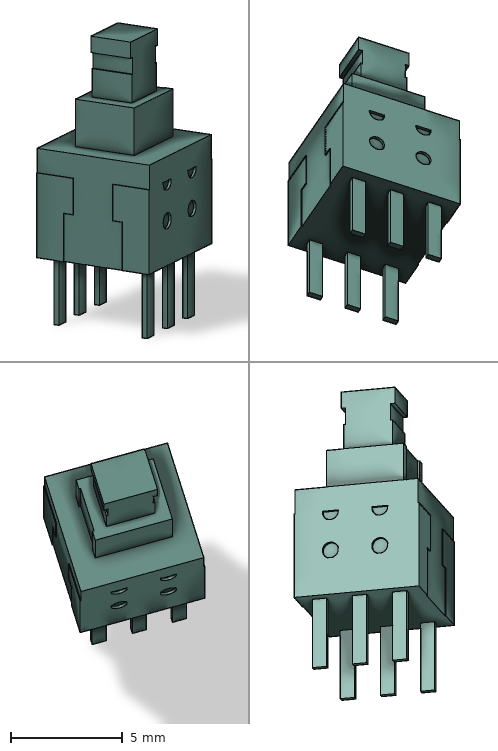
import cadquery as cq


TOTAL_HEIGHT = 13.39

HOUSING_SIDE = 5.75
HOUSING_BOTTOM = 3.23
HOUSING_TOP = 8.32

PLATE_SPAN_Y = 5.82
PLATE_TOP = 7.18
TAB_STEP_Z = 5.48
TAB_GAP_UPPER = 2.04
TAB_GAP_LOWER = 3.01

DIMPLE_DIAMETER = 0.74
DIMPLE_DEPTH = 0.13
DIMPLE_SPACING_Y = 2.3
DIMPLE_CENTRE_Y = -0.07
DIMPLE_LOWER_Z = 5.32
DIMPLE_UPPER_Z = 7.12

COLLAR_WIDTH_X = 3.01
COLLAR_WIDTH_Y = 3.6
COLLAR_TOP = 10.52
NOTCH_WIDTH = 2.12
NOTCH_DEPTH = 0.08

PLUNGER_WIDTH_X = 2.04
STEM_WIDTH_Y = 2.28
GROOVE_WIDTH_Y = 2.12
HEAD_WIDTH_Y = 2.5
GROOVE_BOTTOM = 11.85
HEAD_BOTTOM = 12.63

PIN_THICKNESS_X = 0.25
PIN_WIDTH_Y = 0.65
PIN_ROW_SPACING_X = 4.51
PIN_PITCH_Y = 1.87


def block(width_x, width_y, bottom, top):
    """Box centred in X and Y between two heights."""
    box = cq.Workplane("XY").box(width_x, width_y, top - bottom, centered=(True, True, False))
    return box.translate((0, 0, bottom))


def make_plates():
    """Two mirrored side plates whose stepped tabs wrap onto the front and back of the housing."""
    plate = (
        cq.Workplane("XZ")
        .moveTo(-HOUSING_SIDE / 2, HOUSING_BOTTOM)
        .lineTo(-TAB_GAP_LOWER / 2, HOUSING_BOTTOM)
        .lineTo(-TAB_GAP_LOWER / 2, TAB_STEP_Z)
        .lineTo(-TAB_GAP_UPPER / 2, TAB_STEP_Z)
        .lineTo(-TAB_GAP_UPPER / 2, PLATE_TOP)
        .lineTo(-HOUSING_SIDE / 2, PLATE_TOP)
        .close()
        .extrude(PLATE_SPAN_Y / 2, both=True)
    )
    return plate.union(plate.mirror("YZ"))


def make_dimples():
    """Cutters for the dimples on both plates, limited to the height of the plates."""
    positions = [
        (DIMPLE_CENTRE_Y + side * DIMPLE_SPACING_Y / 2, z)
        for side in (-1, 1)
        for z in (DIMPLE_LOWER_Z, DIMPLE_UPPER_Z)
    ]
    cutters = (
        cq.Workplane("YZ", origin=(-HOUSING_SIDE / 2, 0, 0))
        .pushPoints(positions)
        .circle(DIMPLE_DIAMETER / 2)
        .extrude(DIMPLE_DEPTH)
        .intersect(block(HOUSING_SIDE, PLATE_SPAN_Y, HOUSING_BOTTOM, PLATE_TOP))
    )
    return cutters.union(cutters.mirror("YZ"))


def make_collar():
    """Rectangular collar with the notch running its full height."""
    notch = block(NOTCH_WIDTH, 2 * NOTCH_DEPTH, HOUSING_TOP, COLLAR_TOP)
    notch = notch.translate((0, COLLAR_WIDTH_Y / 2, 0))
    return block(COLLAR_WIDTH_X, COLLAR_WIDTH_Y, HOUSING_TOP, COLLAR_TOP).cut(notch)


def make_plunger():
    """Stem, narrower groove and wider head stacked on the collar."""
    stem = block(PLUNGER_WIDTH_X, STEM_WIDTH_Y, COLLAR_TOP, GROOVE_BOTTOM)
    groove = block(PLUNGER_WIDTH_X, GROOVE_WIDTH_Y, GROOVE_BOTTOM, HEAD_BOTTOM)
    head = block(PLUNGER_WIDTH_X, HEAD_WIDTH_Y, HEAD_BOTTOM, TOTAL_HEIGHT)
    return stem.union(groove).union(head)


def make_pins():
    """Two rows of three flat pins reaching up to the underside of the housing."""
    return (
        cq.Workplane("XY")
        .rarray(PIN_ROW_SPACING_X, PIN_PITCH_Y, 2, 3)
        .rect(PIN_THICKNESS_X, PIN_WIDTH_Y)
        .extrude(HOUSING_BOTTOM)
    )


housing = block(HOUSING_SIDE, HOUSING_SIDE, HOUSING_BOTTOM, HOUSING_TOP)

result = (
    housing.union(make_plates())
    .cut(make_dimples())
    .union(make_collar())
    .union(make_plunger())
    .union(make_pins())
)